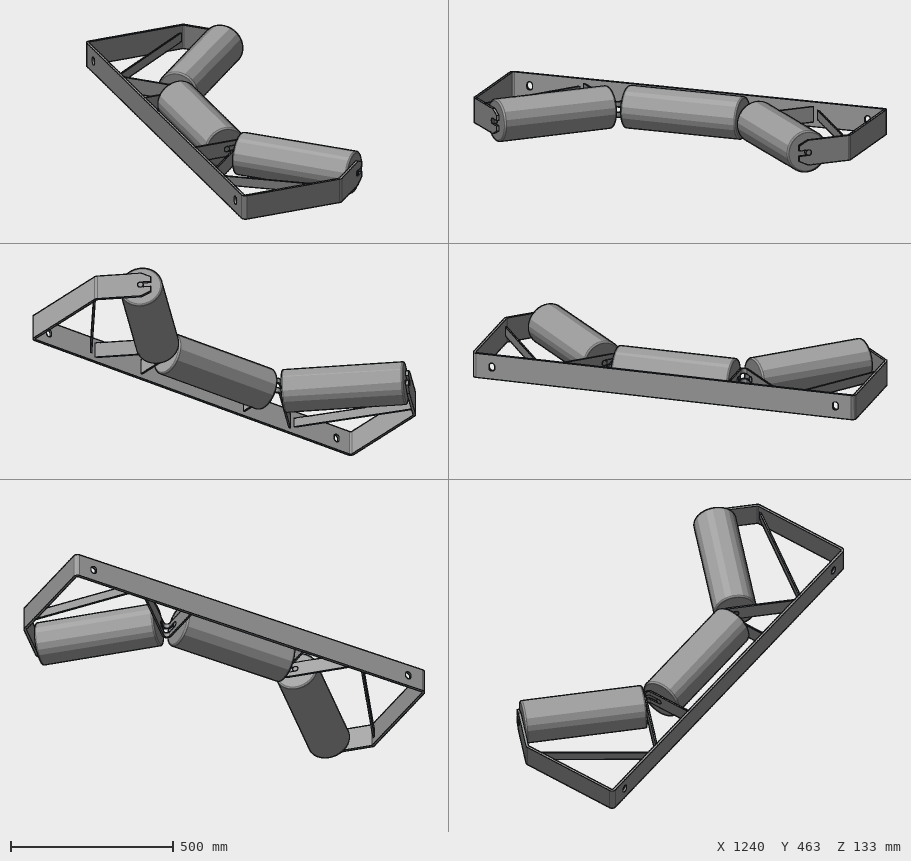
import cadquery as cq
import math


FRAME_LENGTH = 1240.0
FRAME_THICKNESS = 8.0
FRAME_WIDTH = 79.0
FRAME_INNER_RADIUS = 5.0
TOTAL_HEIGHT = 463.0

ROLLER_DIAMETER = 133.0
ROLLER_LENGTH = 380.0
ROLLER_EDGE_RADIUS = 5.0
CENTRE_ROLLER_Y = 124.0
SIDE_ROLLER_X = 378.0
TILT = 45.0

SHAFT_DIAMETER = 17.0
SHAFT_OVERHANG = 11.0
CENTRE_GAP = 6.0
SIDE_GAP = 5.0

ARM_END_REACH = 32.0
ARM_CHAMFER_LENGTH = 30.0
ARM_CHAMFER_WIDTH = 15.0

BRACKET_THICKNESS = 5.0
BRACKET_WIDTH = 50.0
BRACKET_OUTER_RADIUS = 15.0

BRACE_THICKNESS = 5.0
BRACE_WIDTH = 30.0
BRACE_FOOT_X = 394.0
BRACE_TOP_Y = 315.0

BOLT_HOLE_WIDTH = 19.0
BOLT_HOLE_HEIGHT = 26.0
BOLT_HOLE_INSET = 63.0

HALF_LENGTH = FRAME_LENGTH / 2
SIN_TILT = math.sin(math.radians(TILT))
COS_TILT = math.cos(math.radians(TILT))
HALF_ROLLER = ROLLER_LENGTH / 2
ROLLER_RADIUS = ROLLER_DIAMETER / 2

SIDE_ROLLER_Y = (
    TOTAL_HEIGHT
    - ROLLER_EDGE_RADIUS
    - (HALF_ROLLER - ROLLER_EDGE_RADIUS) * SIN_TILT
    - (ROLLER_RADIUS - ROLLER_EDGE_RADIUS) * COS_TILT
)


def on_left_roller(along, across):
    """Point measured from the left roller's middle: along its axis (down and inward) and across it (up)."""
    return (
        -SIDE_ROLLER_X + along * COS_TILT + across * SIN_TILT,
        SIDE_ROLLER_Y - along * SIN_TILT + across * COS_TILT,
    )


def left_roller_plane(along):
    """Plane square to the left roller axis: local X runs across the axis, local Y along Z."""
    return cq.Plane(
        origin=(*on_left_roller(along, 0), 0),
        xDir=(SIN_TILT, COS_TILT, 0),
        normal=(COS_TILT, -SIN_TILT, 0),
    )


def extrude_centred(outline, width):
    return outline.extrude(width / 2, both=True)


def mirrored(body):
    return body.mirror("YZ")


def make_cylinder(radius, length):
    """Cylinder along X with its middle at the origin."""
    return cq.Workplane("YZ", origin=(-length / 2, 0, 0)).circle(radius).extrude(length)


def make_roller():
    """Roller along X with its middle at the origin, and its shaft."""
    barrel = make_cylinder(ROLLER_RADIUS, ROLLER_LENGTH).edges("%CIRCLE").fillet(ROLLER_EDGE_RADIUS)
    shaft = make_cylinder(SHAFT_DIAMETER / 2, ROLLER_LENGTH + 2 * SHAFT_OVERHANG)
    return barrel.union(shaft)


def make_rollers():
    placements = [
        (-SIDE_ROLLER_X, SIDE_ROLLER_Y, -TILT),
        (0, CENTRE_ROLLER_Y, 0),
        (SIDE_ROLLER_X, SIDE_ROLLER_Y, TILT),
    ]
    rollers = []
    for x, y, angle in placements:
        roller = make_roller().rotate((0, 0, 0), (0, 0, 1), angle).translate((x, y, 0))
        rollers.append(roller)
    return rollers


ARM_OUTER_ALONG = -(HALF_ROLLER + SIDE_GAP + FRAME_THICKNESS)


def make_frame_strip():
    """Left half of the bent strip, from the middle of the base to the tip of the arm."""
    outer_radius = FRAME_INNER_RADIUS + FRAME_THICKNESS
    tip_x, tip_y = on_left_roller(ARM_OUTER_ALONG, ARM_END_REACH)
    knee_y = tip_y - (tip_x + HALF_LENGTH) * COS_TILT / SIN_TILT
    knee_inner_y = knee_y - FRAME_THICKNESS * math.tan(math.radians(TILT / 2))
    inner_tip = on_left_roller(ARM_OUTER_ALONG + FRAME_THICKNESS, ARM_END_REACH)
    inner_x = -HALF_LENGTH + FRAME_THICKNESS
    outline = [
        (0, 0),
        (-HALF_LENGTH, 0),
        (-HALF_LENGTH, knee_y),
        (tip_x, tip_y),
        inner_tip,
        (inner_x, knee_inner_y),
        (inner_x, FRAME_THICKNESS),
        (0, FRAME_THICKNESS),
    ]
    strip = extrude_centred(cq.Workplane("XY").polyline(outline).close(), FRAME_WIDTH)
    outer_bends = [(-HALF_LENGTH, 0, 0), (-HALF_LENGTH, knee_y, 0)]
    inner_bends = [(inner_x, FRAME_THICKNESS, 0), (inner_x, knee_inner_y, 0)]
    for bends, radius in ((outer_bends, outer_radius), (inner_bends, FRAME_INNER_RADIUS)):
        for bend in bends:
            strip = strip.edges(cq.selectors.NearestToPointSelector(bend)).fillet(radius)
    return strip


def cut_arm_end(strip):
    """Slot for the shaft, open at the arm's tip, and the two chamfered corners of the tip."""
    plane = left_roller_plane(ARM_OUTER_ALONG)
    half_width = FRAME_WIDTH / 2
    slot = (
        cq.Workplane(plane)
        .circle(SHAFT_DIAMETER / 2)
        .extrude(FRAME_THICKNESS)
        .union(
            cq.Workplane(plane)
            .center(ARM_END_REACH / 2, 0)
            .rect(ARM_END_REACH, SHAFT_DIAMETER)
            .extrude(FRAME_THICKNESS)
        )
    )
    strip = strip.cut(slot)
    for side in (-1, 1):
        corner = [
            (ARM_END_REACH, side * half_width),
            (ARM_END_REACH - ARM_CHAMFER_LENGTH, side * half_width),
            (ARM_END_REACH, side * (half_width - ARM_CHAMFER_WIDTH)),
        ]
        strip = strip.cut(cq.Workplane(plane).polyline(corner).close().extrude(FRAME_THICKNESS))
    return strip


def cut_bolt_hole(strip):
    """Oblong hole through the base, long along Z."""
    hole = (
        cq.Workplane("XZ")
        .center(-HALF_LENGTH + BOLT_HOLE_INSET, 0)
        .slot2D(BOLT_HOLE_HEIGHT, BOLT_HOLE_WIDTH, 90)
        .extrude(-FRAME_THICKNESS)
    )
    return strip.cut(hole)


def make_frame():
    half = cut_bolt_hole(cut_arm_end(make_frame_strip()))
    return half.union(mirrored(half))


UPRIGHT_FACE_X = -(HALF_ROLLER + CENTRE_GAP)
SLOPE_FACE_ALONG = HALF_ROLLER + SIDE_GAP


def slope_x(along, y):
    """X of the left bracket's sloping leg at height y, on the face at the given place along the roller."""
    across = (y - SIDE_ROLLER_Y + along * SIN_TILT) / COS_TILT
    return on_left_roller(along, across)[0]


def make_left_bracket():
    inner_radius = BRACKET_OUTER_RADIUS - BRACKET_THICKNESS
    bend_x = UPRIGHT_FACE_X - BRACKET_OUTER_RADIUS
    bend_along = SLOPE_FACE_ALONG + BRACKET_OUTER_RADIUS
    bend_across = (bend_x - on_left_roller(bend_along, 0)[0]) / SIN_TILT
    bend_y = on_left_roller(bend_along, bend_across)[1]
    slope_back_along = SLOPE_FACE_ALONG + BRACKET_THICKNESS
    upright_back_x = UPRIGHT_FACE_X - BRACKET_THICKNESS

    middle_angle = math.radians((180 - TILT) / 2)
    middle_cos = math.cos(middle_angle)
    middle_sin = math.sin(middle_angle)
    outline = (
        cq.Workplane("XY")
        .moveTo(slope_x(SLOPE_FACE_ALONG, FRAME_THICKNESS), FRAME_THICKNESS)
        .lineTo(*on_left_roller(SLOPE_FACE_ALONG, bend_across))
        .threePointArc(
            (bend_x + BRACKET_OUTER_RADIUS * middle_cos, bend_y + BRACKET_OUTER_RADIUS * middle_sin),
            (UPRIGHT_FACE_X, bend_y),
        )
        .lineTo(UPRIGHT_FACE_X, FRAME_THICKNESS)
        .lineTo(upright_back_x, FRAME_THICKNESS)
        .lineTo(upright_back_x, bend_y)
        .threePointArc(
            (bend_x + inner_radius * middle_cos, bend_y + inner_radius * middle_sin),
            on_left_roller(slope_back_along, bend_across),
        )
        .lineTo(slope_x(slope_back_along, FRAME_THICKNESS), FRAME_THICKNESS)
        .close()
    )
    bracket = extrude_centred(outline, BRACKET_WIDTH)

    slope_axis = on_left_roller(SLOPE_FACE_ALONG, 0)
    slope_axis_back = on_left_roller(slope_back_along, 0)
    bend_slot_outline = [
        slope_axis_back,
        slope_axis,
        (slope_axis[0], bend_y + BRACKET_OUTER_RADIUS),
        (UPRIGHT_FACE_X, bend_y + BRACKET_OUTER_RADIUS),
        (UPRIGHT_FACE_X, CENTRE_ROLLER_Y),
        (upright_back_x, CENTRE_ROLLER_Y),
    ]
    bend_slot = extrude_centred(cq.Workplane("XY").polyline(bend_slot_outline).close(), SHAFT_DIAMETER)
    slope_end = (
        cq.Workplane(left_roller_plane(SLOPE_FACE_ALONG))
        .circle(SHAFT_DIAMETER / 2)
        .extrude(BRACKET_THICKNESS)
    )
    upright_end = (
        cq.Workplane("YZ", origin=(upright_back_x, CENTRE_ROLLER_Y, 0))
        .circle(SHAFT_DIAMETER / 2)
        .extrude(BRACKET_THICKNESS)
    )
    return bracket.cut(bend_slot).cut(slope_end).cut(upright_end)


def make_left_brace():
    wall_x = -HALF_LENGTH + FRAME_THICKNESS
    run = HALF_LENGTH - FRAME_THICKNESS - BRACE_FOOT_X
    rise = BRACE_TOP_Y - FRAME_THICKNESS
    length = math.hypot(run, rise)
    half_foot = BRACE_THICKNESS / 2 * length / rise
    half_top = BRACE_THICKNESS / 2 * length / run
    outline = [
        (-BRACE_FOOT_X - half_foot, FRAME_THICKNESS),
        (-BRACE_FOOT_X + half_foot, FRAME_THICKNESS),
        (wall_x, BRACE_TOP_Y + half_top),
        (wall_x, BRACE_TOP_Y - half_top),
    ]
    return extrude_centred(cq.Workplane("XY").polyline(outline).close(), BRACE_WIDTH)


frame = make_frame()
rollers = make_rollers()
left_bracket = make_left_bracket()
left_brace = make_left_brace()
brackets = [left_bracket, mirrored(left_bracket)]
braces = [left_brace, mirrored(left_brace)]

result = cq.Compound.makeCompound([body.val() for body in [frame, *rollers, *brackets, *braces]])